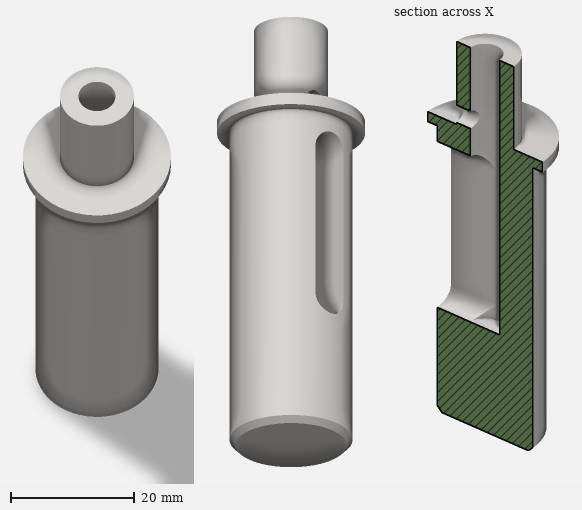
import cadquery as cq

body_diameter = 20.0
body_length = 55.0
body_chamfer = 1.0
flange_diameter = 24.0
flange_thickness = 2.0
stem_diameter = 12.0
stem_length = 16.0
flange_top = body_length + flange_thickness
total_length = flange_top + stem_length

window_width = 6.0
window_bottom = 20.0
window_top = 52.0

bore_diameter = 6.0
bore_depth = total_length - window_bottom

cross_hole_diameter = 3.3
cross_hole_offset = 2.0
cross_hole_height = flange_top + cross_hole_offset


def turned_body():
    """Chamfered body, flange and stem revolved about Z."""
    body_radius = body_diameter / 2
    profile = (
        cq.Workplane("XZ")
        .lineTo(body_radius - body_chamfer, 0)
        .lineTo(body_radius, body_chamfer)
        .lineTo(body_radius, body_length)
        .lineTo(flange_diameter / 2, body_length)
        .lineTo(flange_diameter / 2, flange_top)
        .lineTo(stem_diameter / 2, flange_top)
        .lineTo(stem_diameter / 2, total_length)
        .lineTo(0, total_length)
        .close()
    )
    return profile.revolve(360, (0, 0, 0), (0, 1, 0))


def axial_bore():
    return (
        cq.Workplane("XY", origin=(0, 0, total_length))
        .circle(bore_diameter / 2)
        .extrude(-bore_depth)
    )


def body_window():
    """Obround cutter running from the axis out through the +Y wall."""
    center_height = (window_bottom + window_top) / 2
    return (
        cq.Workplane("XZ", origin=(0, 0, center_height))
        .slot2D(window_top - window_bottom, window_width, 90)
        .extrude(-body_diameter)
    )


def stem_cross_hole():
    """Round cutter running from the axis out through the +Y wall."""
    return (
        cq.Workplane("XZ", origin=(0, 0, cross_hole_height))
        .circle(cross_hole_diameter / 2)
        .extrude(-stem_diameter)
    )


result = turned_body().cut(axial_bore()).cut(body_window()).cut(stem_cross_hole())